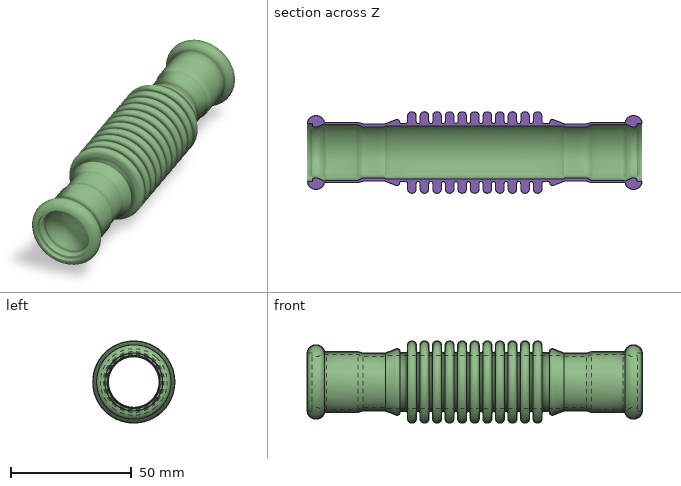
import cadquery as cq
import math

length = 139.0
half_length = length / 2

bead_width = 7.2
bead_crown_radius = 30.9 / 2
mouth_radius = 24.0 / 2
mouth_depth = 2.1

seal_edge_radius = 22.0 / 2
seal_crown_radius = 21.0 / 2
seal_end = 5.3

recess_radius = 23.6 / 2
recess_depth = 7.1
recess_taper_end = 8.0

socket_radius = 25.3 / 2
socket_bore_radius = 23.0 / 2
socket_end = 21.0

neck_radius = 24.0 / 2
neck_bore_radius = 21.0 / 2
neck_start = 23.1
neck_end = 32.4

flare_cone_end = 36.5
flare_cone_radius = 13.6
flare_rim_radius = 1.3
flare_end = 38.5

collar_radius = 24.3 / 2
bellows_bore_radius = 22.0 / 2
ring_count = 11
ring_span = 52.1
ring_pitch = ring_span / (ring_count - 1)
bellows_half_length = ring_count * ring_pitch / 2
ring_radius = 34.0 / 2
ring_arc_radius = 3.8 / 2
root_arc_radius = ring_pitch / 2 - ring_arc_radius


def make_end():
    """Turn the left end, from its mouth to the collar under the first bellows ring."""
    seal_middle = (mouth_depth + seal_end) / 2

    rim_center_x = flare_end - flare_rim_radius
    rim_start_rise = math.sqrt(flare_rim_radius**2 - (rim_center_x - flare_cone_end) ** 2)
    rim_center_radius = flare_cone_radius - rim_start_rise

    bellows_start = half_length - bellows_half_length

    outline = (
        cq.Workplane("XY", origin=(-half_length, 0, 0))
        .moveTo(0, mouth_radius)
        .threePointArc((bead_width / 2, bead_crown_radius), (bead_width, socket_radius))
        .lineTo(socket_end, socket_radius)
        .lineTo(neck_start, neck_radius)
        .lineTo(neck_end, neck_radius)
        .lineTo(flare_cone_end, flare_cone_radius)
        .threePointArc(
            (rim_center_x, rim_center_radius + flare_rim_radius),
            (flare_end, rim_center_radius),
        )
        .lineTo(flare_end, collar_radius)
        .lineTo(bellows_start, collar_radius)
        .lineTo(bellows_start, bellows_bore_radius)
        .lineTo(neck_end, bellows_bore_radius)
        .lineTo(neck_end, neck_bore_radius)
        .lineTo(neck_start, neck_bore_radius)
        .lineTo(socket_end, socket_bore_radius)
        .lineTo(recess_taper_end, socket_bore_radius)
        .lineTo(recess_depth, recess_radius)
        .lineTo(seal_end, seal_edge_radius)
        .threePointArc((seal_middle, seal_crown_radius), (mouth_depth, seal_edge_radius))
        .lineTo(mouth_depth, mouth_radius)
        .close()
    )
    return outline.revolve(360, (0, 0, 0), (1, 0, 0))


def make_bellows():
    """Turn the bellows: rounded rings joined by rounded roots, over a plain bore."""
    crest_center_radius = ring_radius - ring_arc_radius
    root_center_radius = collar_radius + root_arc_radius
    root_diagonal = root_arc_radius * math.sqrt(0.5)

    outline = (
        cq.Workplane("XY")
        .moveTo(-bellows_half_length, bellows_bore_radius)
        .lineTo(-bellows_half_length, collar_radius)
    )
    for index in range(ring_count):
        ring_x = (index + 0.5) * ring_pitch - bellows_half_length
        ring_left = ring_x - ring_arc_radius
        ring_right = ring_x + ring_arc_radius
        left_root_x = ring_x - ring_pitch / 2
        right_root_x = ring_x + ring_pitch / 2
        outline = (
            outline.threePointArc(
                (left_root_x + root_diagonal, root_center_radius - root_diagonal),
                (ring_left, root_center_radius),
            )
            .lineTo(ring_left, crest_center_radius)
            .threePointArc((ring_x, ring_radius), (ring_right, crest_center_radius))
            .lineTo(ring_right, root_center_radius)
            .threePointArc(
                (right_root_x - root_diagonal, root_center_radius - root_diagonal),
                (right_root_x, collar_radius),
            )
        )
    outline = outline.lineTo(bellows_half_length, bellows_bore_radius).close()
    return outline.revolve(360, (0, 0, 0), (1, 0, 0))


left_end = make_end()
right_end = left_end.mirror("YZ")
result = make_bellows().union(left_end).union(right_end)